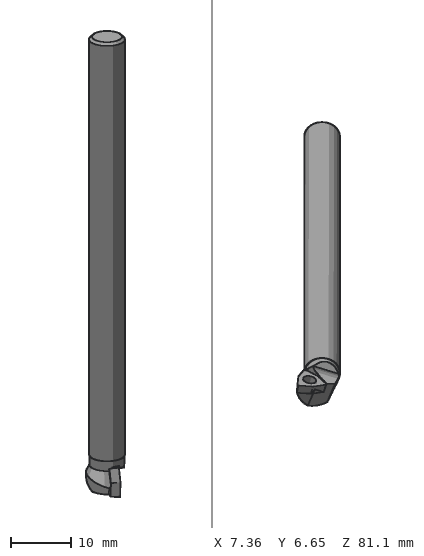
import cadquery as cq
import math

total_length = 81.1
shank_diameter = 6.0
shank_bottom = 6.2
end_chamfer = 0.5

neck_diameter = 5.8
flare_top = 4.4
flare_growth = 0.5
nose_radius = 4.05
nose_offset = 0.4
back_foot = (-1.95, 2.4)
heel = (1.2, 0.65)
side_bottom = (3.7, 0.65)
side_knee = (3.8, 2.5)
side_top = (2.8, 5.0)

clearance_y = 1.0
scoop_radius = 1.0
scoop_center_z = 3.25
runout_top = 5.3

inscribed_radius = 1.95
insert_thickness = 1.6
insert_hole_diameter = 2.2
corner_angle = 80.0
corner_radius = 0.18
flank_angle = 7.0
insert_center = (2.35, 0.4, 2.2)
tip_direction = -47.0
rake_slope_x = -0.18
rake_slope_z = 0.04

shank_radius = shank_diameter / 2

rake_plane = cq.Plane(
    origin=insert_center,
    xDir=(1, rake_slope_x, 0),
    normal=(-rake_slope_x, 1, -rake_slope_z),
)


def trigon_points():
    """Three cutting corners alternating with three blunt corners."""
    sharp_distance = inscribed_radius / math.sin(math.radians(corner_angle / 2))
    blunt_distance = inscribed_radius / math.cos(math.radians(corner_angle / 2 - 30))
    points = []
    for index in range(6):
        distance = sharp_distance if index % 2 == 0 else blunt_distance
        angle = math.radians(-tip_direction + 60 * index)
        points.append((distance * math.cos(angle), distance * math.sin(angle)))
    return points


def trigon_prism(height, taper=0):
    """Trigon prism standing on the rake face; a negative height goes below it."""
    outline = cq.Sketch().polygon(trigon_points() + trigon_points()[:1])
    outline = outline.vertices().fillet(corner_radius)
    return cq.Workplane(rake_plane).placeSketch(outline).extrude(height, taper=taper)


def insert_blank():
    return trigon_prism(-insert_thickness, flank_angle)


def make_insert():
    hole = cq.Workplane(rake_plane).circle(insert_hole_diameter / 2).extrude(-insert_thickness)
    return insert_blank().cut(hole)


def make_shank():
    shank = cq.Workplane().workplane(offset=shank_bottom).circle(shank_radius)
    shank = shank.extrude(total_length - shank_bottom)
    return shank.faces(">Z").chamfer(end_chamfer)


def make_head():
    neck = cq.Workplane().workplane(offset=flare_top).circle(neck_diameter / 2)
    neck = neck.extrude(shank_bottom - flare_top)
    flare_bottom_radius = neck_diameter / 2 + flare_growth * flare_top
    flare = (
        cq.Workplane().circle(flare_bottom_radius)
        .workplane(offset=flare_top).circle(neck_diameter / 2).loft(ruled=True)
    )
    nose = cq.Workplane().center(nose_offset, nose_offset).circle(nose_radius).extrude(flare_top)
    side_profile = (
        cq.Workplane("XZ")
        .polyline([
            (-shank_radius, shank_bottom), back_foot, heel, side_bottom,
            side_knee, side_top, (shank_radius, shank_bottom),
        ])
        .close().extrude(2 * nose_radius, both=True)
    )
    return neck.union(flare.intersect(nose)).intersect(side_profile)


def chip_clearance():
    """Flat below the rake side, running out through a scooped end."""
    scoop_end = (clearance_y + scoop_radius, scoop_center_z + scoop_radius)
    bend = scoop_radius * math.sqrt(0.5)
    scoop_middle = (scoop_end[0] - bend, scoop_center_z + bend)
    outer_y = 2 * nose_radius
    return (
        cq.Workplane("YZ")
        .moveTo(clearance_y, 0)
        .lineTo(clearance_y, scoop_center_z)
        .threePointArc(scoop_middle, scoop_end)
        .lineTo(shank_radius, runout_top)
        .lineTo(outer_y, runout_top)
        .lineTo(outer_y, 0)
        .close().extrude(2 * nose_radius, both=True)
    )


def make_holder():
    holder = make_shank().union(make_head()).cut(chip_clearance())
    access_above_insert = trigon_prism(shank_diameter)
    return holder.cut(insert_blank()).cut(access_above_insert)


holder = make_holder()
insert = make_insert()
result = cq.Compound.makeCompound([holder.solids().val(), insert.solids().val()])